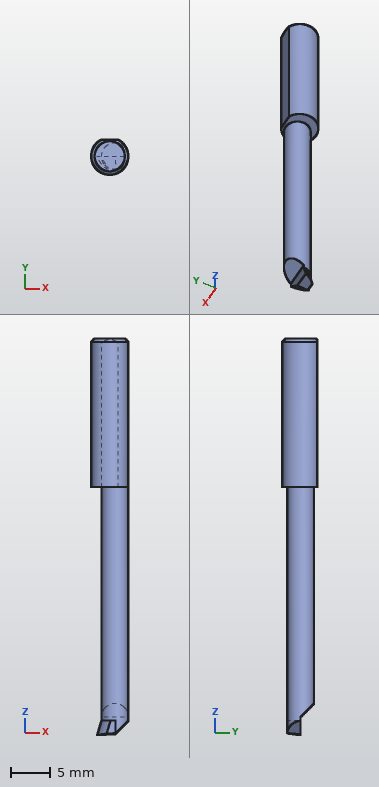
import cadquery as cq
import math

length = 50.8
shank_diameter = 4.75
shank_length = 19.05
shank_chamfer = 0.45
flat_offset = 2.15

neck_diameter = 3.45
neck_radius = neck_diameter / 2
neck_x = (shank_diameter - neck_diameter) / 2

rake_length = 2.35
tooth_height = 1.9
tip_x = -1.6
tooth_top_x = -1.05
tooth_width = 1.15
tooth_depth = 1.6
tooth_bulge = 0.15
notch_x = 0.7
back_chamfer = 1.85
end_rise_angle = 5.0
end_side_angle = 3.0
margin = 5.1


def make_shank():
    shank_bottom = length - shank_length
    shank = (
        cq.Workplane("XY", origin=(0, 0, shank_bottom))
        .circle(shank_diameter / 2)
        .extrude(shank_length)
        .faces(">Z")
        .chamfer(shank_chamfer)
    )
    flat_cut = (
        cq.Workplane("XY", origin=(0, flat_offset, shank_bottom))
        .rect(shank_diameter, margin)
        .extrude(shank_length)
        .translate((0, margin / 2, 0))
    )
    return shank.cut(flat_cut)


def make_tooth_space():
    """Block on the -X side of the notch wall, as tall as the tooth."""
    block = cq.Workplane("XY").box(
        margin, margin, tooth_height, centered=(False, True, False)
    )
    return block.translate((notch_x - margin, 0, 0))


def make_neck():
    neck = (
        cq.Workplane("XY")
        .center(neck_x, 0)
        .circle(neck_radius)
        .extrude(length - shank_length)
    )
    return neck.cut(make_tooth_space())


def make_tooth():
    """Tooth with a curved side, leaning outward toward the tip."""
    front_x = tip_x + tooth_width
    chord = math.hypot(tooth_width, tooth_depth)
    arc_mid = (
        tip_x + tooth_width / 2 - tooth_bulge * tooth_depth / chord,
        -tooth_depth / 2 - tooth_bulge * tooth_width / chord,
    )
    lean = tooth_top_x - tip_x
    profile = (
        cq.Workplane("XY")
        .moveTo(tip_x, 0)
        .threePointArc(arc_mid, (front_x, -tooth_depth))
        .lineTo(notch_x, -tooth_depth)
        .lineTo(notch_x, 0)
        .close()
    )
    leaning = cq.Solid.extrudeLinear(profile.val(), [], cq.Vector(lean, 0, tooth_height))
    backing = cq.Workplane("XY").box(
        notch_x - front_x - lean, tooth_depth, tooth_height, centered=False
    ).translate((front_x + lean, -tooth_depth, 0))
    return cq.Workplane(leaning).intersect(make_tooth_space()).union(backing)


def make_rake_cut():
    """Remove the +Y half of the end, with a 45-degree run-out."""
    return (
        cq.Workplane("YZ")
        .polyline([
            (0, -margin),
            (0, rake_length),
            (margin, rake_length + margin),
            (margin, -margin),
        ])
        .close()
        .extrude(margin, both=True)
    )


def make_back_chamfer_cut():
    """45-degree clearance on the +X side of the end."""
    back_x = neck_x + neck_radius
    return (
        cq.Workplane("XZ")
        .polyline([
            (back_x - back_chamfer - margin, -margin),
            (back_x + margin, back_chamfer + margin),
            (back_x + margin, -margin),
        ])
        .close()
        .extrude(margin, both=True)
    )


def make_end_relief_cut():
    """Sloping end face that leaves the tooth tip as the lowest point."""
    return (
        cq.Workplane("XY")
        .box(2 * margin, 2 * margin, margin, centered=(True, True, False))
        .translate((0, 0, -margin))
        .rotate((0, 0, 0), (1, 0, 0), -end_rise_angle)
        .rotate((0, 0, 0), (0, 1, 0), -end_side_angle)
        .translate((tip_x, 0, 0))
    )


tool = make_shank().union(make_neck()).union(make_tooth())
tool = tool.cut(make_rake_cut()).cut(make_back_chamfer_cut())
result = tool.cut(make_end_relief_cut())